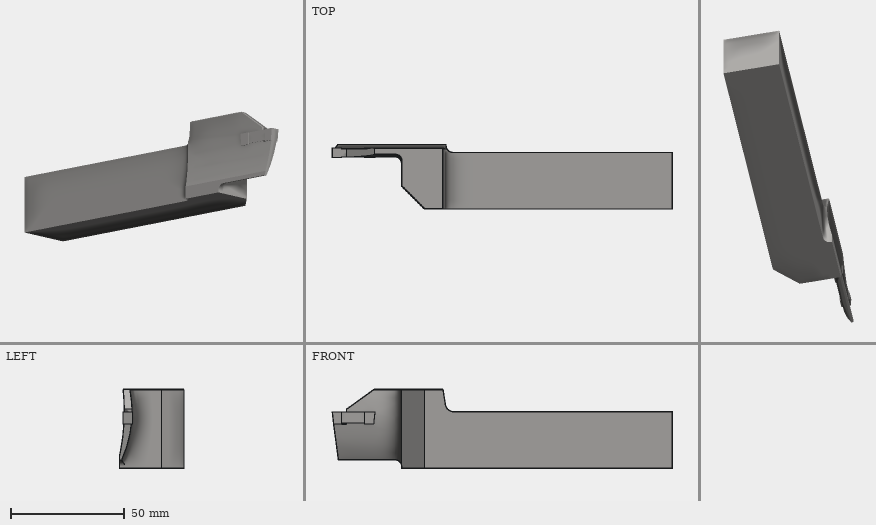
import cadquery as cq
import math

LENGTH = 150.0
SHANK_SIZE = 25.0
HEAD_HEIGHT = 35.0
HEAD_WIDTH = 28.5
SHOULDER_X = 30.6
SHOULDER_CHAMFER = 10.0
HEAD_TOP_END_X = 48.9
HEAD_BACK_END_X = 50.2
HEAD_END_ANGLE = 9.0
HEAD_END_FILLET = 3.6
TOP_CHAMFER = 0.3
HEAD_BACK_FILLET = 3.0

CUTTING_Z = 24.9
INNER_FACE_Y = 23.0
INNER_RADIUS = 51.0
OUTER_FACE_Y = 26.4
OUTER_RADIUS = 90.0
BLADE_BOTTOM_X = 2.7
BLADE_BOTTOM_Z = 3.8
BLADE_FILLET = 2.8
JAW_FRONT_X = 6.3
JAW_FRONT_Z = 26.1
JAW_TOP_X = 18.6

INSERT_LENGTH = 18.9
INSERT_HEIGHT = 5.4
INSERT_END_TAPER = 0.6
INSERT_WIDTH = 4.4
INSERT_MIN_Y = 22.6
NECK_START_X = 4.2
NECK_END_X = 14.2
NECK_SIDE_DEPTH = 0.3
NECK_BOTTOM_DEPTH = 0.5
INSERT_BOTTOM_Z = CUTTING_Z - INSERT_HEIGHT


def x_cylinder(face_y, radius):
    """Cylinder along X whose -Y extreme lies at face_y."""
    return cq.Workplane("YZ").center(face_y + radius, CUTTING_Z).circle(radius).extrude(LENGTH)


def side_prism(points):
    """Extrude an XZ outline over the full head width."""
    return cq.Workplane("XZ").polyline(points).close().extrude(-HEAD_WIDTH)


def make_body_block():
    """Chamfered head with the lower, narrower shank behind it."""
    end_slope = (HEAD_HEIGHT - SHANK_SIZE) * math.tan(math.radians(HEAD_END_ANGLE))
    head_end_x = HEAD_TOP_END_X + end_slope
    block = side_prism([
        (SHOULDER_X, 0),
        (LENGTH, 0),
        (LENGTH, SHANK_SIZE),
        (head_end_x, SHANK_SIZE),
        (HEAD_TOP_END_X, HEAD_HEIGHT),
        (SHOULDER_X, HEAD_HEIGHT),
    ])
    step = cq.selectors.NearestToPointSelector((head_end_x, HEAD_WIDTH / 2, SHANK_SIZE))
    block = block.edges(step).fillet(HEAD_END_FILLET)
    plan = (
        cq.Workplane("XY")
        .moveTo(SHOULDER_X, SHOULDER_CHAMFER)
        .lineTo(SHOULDER_X + SHOULDER_CHAMFER, 0)
        .lineTo(LENGTH, 0)
        .lineTo(LENGTH, SHANK_SIZE)
        .lineTo(HEAD_BACK_END_X + HEAD_BACK_FILLET, SHANK_SIZE)
        .radiusArc((HEAD_BACK_END_X, SHANK_SIZE + HEAD_BACK_FILLET), HEAD_BACK_FILLET)
        .lineTo(HEAD_BACK_END_X, HEAD_WIDTH)
        .lineTo(SHOULDER_X, HEAD_WIDTH)
        .close()
        .extrude(HEAD_HEIGHT)
    )
    return block.intersect(plan)


def make_blade():
    """Thin curved blade with a raked front, a sloping upper jaw and a flared root."""
    flare_start_x = SHOULDER_X - BLADE_FILLET
    side_outline = (
        cq.Workplane("XZ")
        .moveTo(BLADE_BOTTOM_X, BLADE_BOTTOM_Z)
        .lineTo(INSERT_END_TAPER, INSERT_BOTTOM_Z)
        .lineTo(JAW_FRONT_X, INSERT_BOTTOM_Z)
        .lineTo(JAW_FRONT_X, JAW_FRONT_Z)
        .lineTo(JAW_TOP_X, HEAD_HEIGHT)
        .lineTo(SHOULDER_X, HEAD_HEIGHT)
        .lineTo(SHOULDER_X, BLADE_BOTTOM_Z - BLADE_FILLET)
        .radiusArc((flare_start_x, BLADE_BOTTOM_Z), -BLADE_FILLET)
        .close()
        .extrude(-HEAD_WIDTH)
    )
    axis_y = INNER_FACE_Y + INNER_RADIUS
    flared_cylinder = (
        cq.Workplane("XY", origin=(0, axis_y, CUTTING_Z))
        .lineTo(0, -INNER_RADIUS)
        .lineTo(flare_start_x, -INNER_RADIUS)
        .radiusArc((SHOULDER_X, -INNER_RADIUS - BLADE_FILLET), BLADE_FILLET)
        .lineTo(SHOULDER_X, 0)
        .close()
        .revolve(360, (0, 0, 0), (1, 0, 0))
    )
    return side_outline.intersect(flared_cylinder)


def make_insert():
    """Double-ended insert with a recessed neck between its end pads."""
    neck_length = NECK_END_X - NECK_START_X
    neck_center_x = (NECK_START_X + NECK_END_X) / 2
    insert_center_y = INSERT_MIN_Y + INSERT_WIDTH / 2
    insert = (
        cq.Workplane("XZ", origin=(0, INSERT_MIN_Y, 0))
        .polyline([
            (0, CUTTING_Z),
            (INSERT_LENGTH, CUTTING_Z),
            (INSERT_LENGTH - INSERT_END_TAPER, INSERT_BOTTOM_Z),
            (INSERT_END_TAPER, INSERT_BOTTOM_Z),
        ])
        .close()
        .extrude(-INSERT_WIDTH)
    )
    for side_y in (INSERT_MIN_Y, INSERT_MIN_Y + INSERT_WIDTH):
        side_recess = cq.Workplane("XY").box(neck_length, 2 * NECK_SIDE_DEPTH, 2 * INSERT_HEIGHT)
        insert = insert.cut(side_recess.translate((neck_center_x, side_y, CUTTING_Z)))
    bottom_recess = cq.Workplane("XY").box(neck_length, INSERT_WIDTH, 2 * NECK_BOTTOM_DEPTH)
    return insert.cut(bottom_recess.translate((neck_center_x, insert_center_y, INSERT_BOTTOM_Z)))


def make_holder(insert):
    """Block and blade with a hollow back face, a broken top rim and the insert seat."""
    holder = make_body_block().union(make_blade())
    back_hollow = x_cylinder(OUTER_FACE_Y, OUTER_RADIUS)
    holder = holder.cut(back_hollow)
    holder = holder.faces(">Z").edges("not <X").chamfer(TOP_CHAMFER)
    return holder.cut(insert)


insert = make_insert()
holder = make_holder(insert)

result = cq.Compound.makeCompound([holder.val(), insert.val()])